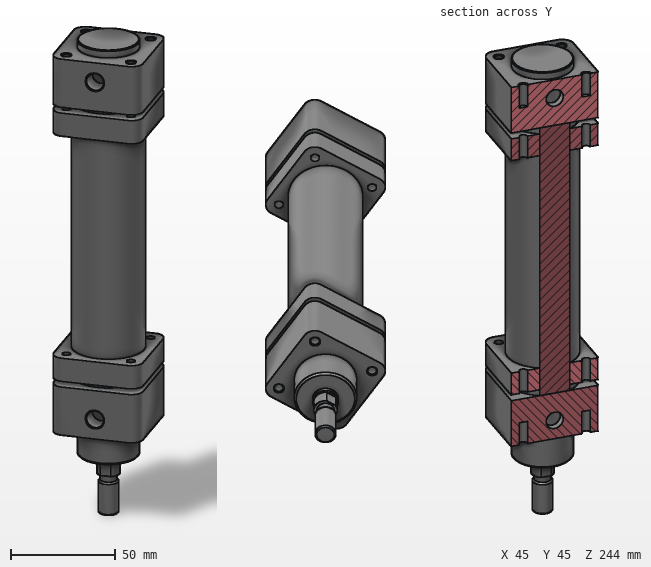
import cadquery as cq


total_length = 244.0
square_width = 45.0
corner_radius = 5.9

barrel_diameter = 35.9

head_length = 25.0
boss_diameter = 30.0
nose_length = 16.0
nose_chamfer = 1.0
cap_length = 4.0
cap_chamfer = 0.5

flange_thickness = 12.0
flange_gap = 3.0

screw_spacing = 32.5
screw_hole_diameter = 4.1
screw_hole_depth = 12.0
screw_countersink = 0.5
countersink_angle = 90

port_diameter = 8.5
port_depth = 10.0
port_countersink = 0.5
port_offset = 10.0

thread_diameter = 10.0
thread_length = 17.0
thread_chamfer = 0.7
groove_diameter = 8.3
groove_length = 3.5
wrench_diameter = 11.2
wrench_length = 7.0
wrench_across_flats = 10.0
rod_diameter = 12.5
rod_edge_chamfer = (rod_diameter - wrench_diameter) / 2
rod_length = 30.0

lower_head_outer = rod_length + nose_length
lower_head_inner = lower_head_outer + head_length
upper_head_outer = total_length - cap_length
upper_head_inner = upper_head_outer - head_length
groove_top = thread_length + groove_length
wrench_top = groove_top + wrench_length


def square_block(thickness):
    """Square block with rounded vertical edges, its lower face at Z = 0."""
    block = cq.Workplane("XY").box(square_width, square_width, thickness, centered=(True, True, False))
    return block.edges("|Z").fillet(corner_radius)


def mark_corners(block):
    """Screw positions at the four corners of the upper face."""
    return (
        block.faces(">Z")
        .workplane(origin=(0, 0, 0))
        .rect(screw_spacing, screw_spacing, forConstruction=True)
        .vertices()
    )


def make_head(boss_length, boss_chamfer):
    """Head with its inner face at Z = 0 and its boss pointing up."""
    screw_mouth_diameter = screw_hole_diameter + 2 * screw_countersink
    port_mouth_diameter = port_diameter + 2 * port_countersink
    head = mark_corners(square_block(head_length)).cskHole(
        screw_hole_diameter, screw_mouth_diameter, countersink_angle, screw_hole_depth
    )
    head = (
        head.faces("<Y")
        .workplane(origin=(0, 0, head_length - port_offset))
        .cskHole(port_diameter, port_mouth_diameter, countersink_angle, port_depth)
    )
    boss = (
        cq.Workplane("XY", origin=(0, 0, head_length))
        .circle(boss_diameter / 2)
        .extrude(boss_length)
        .faces(">Z")
        .chamfer(boss_chamfer)
    )
    return head.union(boss)


def make_flange():
    """Flange with plain through screw holes and a bore that fits the barrel, lower face at Z = 0."""
    flange = mark_corners(square_block(flange_thickness)).hole(screw_hole_diameter)
    return flange.faces(">Z").workplane(origin=(0, 0, 0)).hole(barrel_diameter)


def make_rod():
    """Turned rod end: thread, undercut groove, wrench section and full diameter."""
    thread_radius = thread_diameter / 2
    groove_radius = groove_diameter / 2
    wrench_radius = wrench_diameter / 2
    rod_radius = rod_diameter / 2
    rod = (
        cq.Workplane("XZ")
        .moveTo(0, 0)
        .lineTo(thread_radius - thread_chamfer, 0)
        .lineTo(thread_radius, thread_chamfer)
        .lineTo(thread_radius, thread_length - (thread_radius - groove_radius))
        .lineTo(groove_radius, thread_length)
        .lineTo(groove_radius, groove_top)
        .lineTo(wrench_radius, groove_top)
        .lineTo(wrench_radius, wrench_top)
        .lineTo(rod_radius, wrench_top + rod_edge_chamfer)
        .lineTo(rod_radius, rod_length)
        .lineTo(0, rod_length)
        .close()
        .revolve(360, (0, 0, 0), (0, 1, 0))
    )
    flat_depth = (wrench_diameter - wrench_across_flats) / 2
    for side in (-1, 1):
        flat_cut = cq.Workplane("XY", origin=(0, 0, groove_top)).box(
            wrench_diameter, flat_depth, wrench_length, centered=(True, True, False)
        )
        rod = rod.cut(flat_cut.translate((0, side * (wrench_across_flats + flat_depth) / 2, 0)))
    return rod


upper_head = make_head(cap_length, cap_chamfer).translate((0, 0, upper_head_inner))
lower_head = (
    make_head(nose_length, nose_chamfer)
    .rotate((0, 0, 0), (0, 1, 0), 180)
    .translate((0, 0, lower_head_inner))
)

barrel = (
    cq.Workplane("XY", origin=(0, 0, lower_head_inner))
    .circle(barrel_diameter / 2)
    .extrude(upper_head_inner - lower_head_inner)
)

flange_bottoms = (
    lower_head_inner + flange_gap,
    upper_head_inner - flange_gap - flange_thickness,
)
flanges = []
for bottom in flange_bottoms:
    flanges.append(make_flange().translate((0, 0, bottom)).val())

rod = make_rod()

result = cq.Compound.makeCompound(
    [upper_head.val(), lower_head.val(), barrel.val(), *flanges, rod.val()]
)